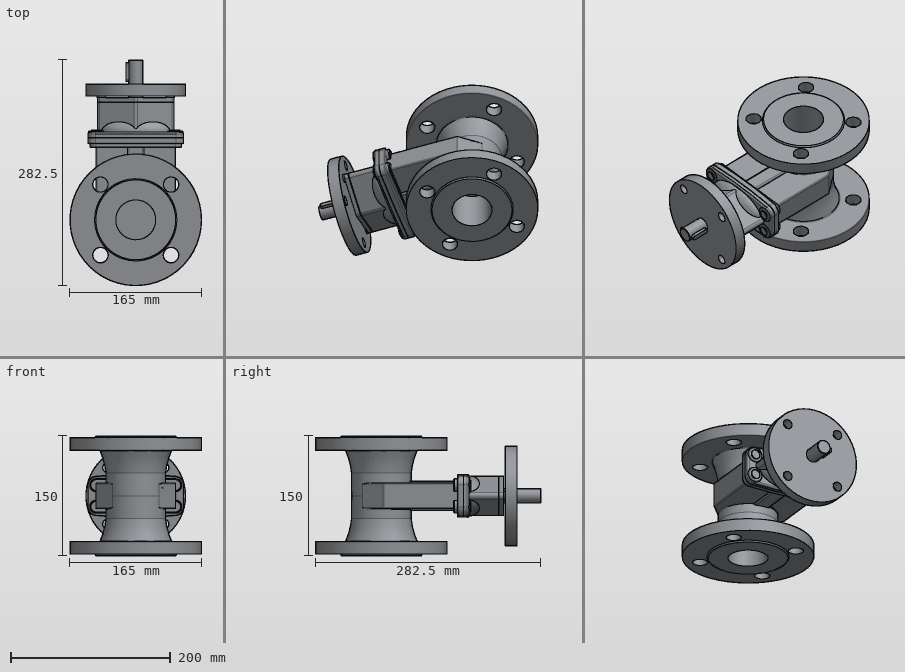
import cadquery as cq
import math


PIPE_LENGTH = 150.0
BORE_DIA = 50.0
BORE_DEPTH = 59.0
BARREL_RADIUS = 75.0 / 2
BARREL_HALF_LENGTH = 28.5
NECK_END_RADIUS = 45.0
NECK_ARC_RADIUS = 90.0
NECK_ROOT_FILLET = 1.2
PIPE_FLANGE_RADIUS = 165.0 / 2
PIPE_FLANGE_THICKNESS = 16.0
PIPE_FLANGE_ROUND = 0.5
RAISED_FACE_HEIGHT = 2.0
RAISED_FACE_RADIUS = 50.0
RAISED_FACE_BASE_RADIUS = 51.5
PIPE_BOLT_DIA = 19.0
PIPE_BOLT_CIRCLE = 125.0
BOLT_COUNT = 4
FIRST_BOLT_ANGLE = 45.0

ARM_HALF_WIDTH = 50.0
ARM_HALF_HEIGHT = 16.0
ARM_ROUND = 1.4
ARM_ROOT_FILLET = 0.8
ARM_BEVEL_START_Y = 2.5
RIB_HALF_WIDTH = 10.5
RIB_HEIGHT = 2.5
RIB_ROUND = 2.0

JOINT_Y = 102.6
BODY_PLATE_THICKNESS = 7.0
GEAR_PLATE_THICKNESS = 7.4
PLATE_HALF_WIDTH = 60.0
PLATE_HALF_HEIGHT = 27.0
PLATE_CORNER_RADIUS = 10.5
PLATE_CORNER_Z = 14.1
PLATE_ROUND = 2.5
JOINT_CHAMFER = 0.4
STUD_X = 49.5
STUD_Z = 13.5
LUG_RADIUS = 8.0
LUG_HEIGHT = 5.3
LUG_CHAMFER = 1.2
LUG_ROOT_FILLET = 0.8
STUD_BOSS_RADIUS = 9.7
STUD_BOSS_HEIGHT = 1.2
STUD_BOSS_ROUND = 1.0
STUD_HEAD_RADIUS = 12.0 / 2
STUD_HEAD_HEIGHT = 1.3

GEARBOX_END_Y = 153.0
RHOMBUS_HALF_WIDTH = 55.2
RHOMBUS_HALF_HEIGHT = 25.2
RHOMBUS_CORNER_RADIUS = 10.0 / 2
SUPPORT_BOSS_RADIUS = 10.62 / 2
GROOVE_Y = 147.2
GROOVE_WIDTH = 0.8
GROOVE_DEPTH = 0.4
DOME_HALF_WIDTH = 44.0
DOME_HALF_HEIGHT = 25.2
DOME_RISE = 20.5

MOTOR_FLANGE_RADIUS = 125.0 / 2
MOTOR_FLANGE_Y = 155.0
MOTOR_FLANGE_THICKNESS = 15.0
MOTOR_BOLT_DIA = 12.0
MOTOR_BOLT_CIRCLE = 100.0
MOTOR_FLANGE_CHAMFER = 0.3

SHAFT_DIA = 18.0
SHAFT_END_Y = 200.0
SHAFT_CHAMFER = 0.5
KEY_WIDTH = 6.0
KEY_HEIGHT = 6.0
KEY_LENGTH = 24.0
KEY_END_GAP = 3.0
KEY_TOP = 12.5

BODY_PLATE_Y = JOINT_Y - BODY_PLATE_THICKNESS
GEAR_PLATE_TOP_Y = JOINT_Y + GEAR_PLATE_THICKNESS
STUD_POINTS = [(x, z) for x in (-STUD_X, STUD_X) for z in (-STUD_Z, STUD_Z)]


def across(y):
    """Sketch plane square to Y at height y: local x is X, local y is Z."""
    return cq.Workplane("XZ", origin=(0, y, 0))


def raised(sketch, height):
    """Extrude a sketch made by across() toward +Y."""
    return sketch.extrude(-height)


def pipe_half():
    """Barrel half, curved neck, drilled flange and raised face on the +Z side."""
    end = PIPE_LENGTH / 2
    flange_top = end - RAISED_FACE_HEIGHT
    flange_back = flange_top - PIPE_FLANGE_THICKNESS
    outline = (
        cq.Workplane("XZ")
        .lineTo(BARREL_RADIUS, 0)
        .lineTo(BARREL_RADIUS, BARREL_HALF_LENGTH)
        .radiusArc((NECK_END_RADIUS, flange_back), NECK_ARC_RADIUS)
        .lineTo(PIPE_FLANGE_RADIUS - PIPE_FLANGE_ROUND, flange_back)
        .radiusArc((PIPE_FLANGE_RADIUS, flange_back + PIPE_FLANGE_ROUND), -PIPE_FLANGE_ROUND)
        .lineTo(PIPE_FLANGE_RADIUS, flange_top)
        .lineTo(RAISED_FACE_BASE_RADIUS, flange_top)
        .lineTo(RAISED_FACE_RADIUS, end)
        .lineTo(0, end)
        .close()
    )
    half = outline.revolve(360, (0, 0, 0), (0, 1, 0))
    underside_zone = cq.selectors.BoxSelector(
        (-end, -end, flange_back - PIPE_FLANGE_ROUND / 2),
        (end, end, flange_back + PIPE_FLANGE_ROUND / 2),
    )
    neck_root = half.edges("%CIRCLE").edges(underside_zone).edges(cq.selectors.RadiusNthSelector(0))
    half = neck_root.fillet(NECK_ROOT_FILLET)
    bolt_holes = (
        cq.Workplane("XY", origin=(0, 0, flange_back))
        .polarArray(PIPE_BOLT_CIRCLE / 2, FIRST_BOLT_ANGLE, 360, BOLT_COUNT)
        .circle(PIPE_BOLT_DIA / 2)
        .extrude(PIPE_FLANGE_THICKNESS)
    )
    return half.cut(bolt_holes)


def bores():
    """Blind bores from both pipe ends, leaving a closed web in the middle."""
    top = cq.Workplane("XY", origin=(0, 0, PIPE_LENGTH / 2)).circle(BORE_DIA / 2).extrude(-BORE_DEPTH)
    return top.union(top.mirror("XY"))


def arm():
    """Rounded box arm whose front corners are bevelled along tangents of the barrel."""
    reach = math.hypot(ARM_HALF_WIDTH, ARM_BEVEL_START_Y)
    start_angle = math.atan2(ARM_BEVEL_START_Y, ARM_HALF_WIDTH)
    touch_angle = start_angle - math.acos(BARREL_RADIUS / reach)
    touch_x = BARREL_RADIUS * math.cos(touch_angle)
    touch_y = BARREL_RADIUS * math.sin(touch_angle)
    outline = [
        (ARM_HALF_WIDTH, BODY_PLATE_Y),
        (ARM_HALF_WIDTH, ARM_BEVEL_START_Y),
        (touch_x, touch_y),
        (-touch_x, touch_y),
        (-ARM_HALF_WIDTH, ARM_BEVEL_START_Y),
        (-ARM_HALF_WIDTH, BODY_PLATE_Y),
    ]
    box = cq.Workplane("XY").polyline(outline).close().extrude(ARM_HALF_HEIGHT, both=True)
    bevel_corners = box.edges("|Z").edges(
        cq.selectors.BoxSelector(
            (-2 * ARM_HALF_WIDTH, 0, -ARM_HALF_HEIGHT),
            (2 * ARM_HALF_WIDTH, BODY_PLATE_Y / 2, ARM_HALF_HEIGHT),
        )
    )
    box = bevel_corners.fillet(ARM_ROUND)
    return box.faces("<Z or >Z").edges("not |X").fillet(ARM_ROUND)


def ribs():
    """Low rounded rib along the middle of the arm's upper and lower faces."""
    rib_half_height = ARM_HALF_HEIGHT + RIB_HEIGHT
    rib = raised(across(0).rect(2 * RIB_HALF_WIDTH, 2 * rib_half_height), BODY_PLATE_Y)
    return rib.edges("|Y").fillet(RIB_ROUND)


def joint_plate(y, thickness):
    """Plate with round corners and slightly bowed long sides, tangent all round."""
    corner_x = PLATE_HALF_WIDTH - PLATE_CORNER_RADIUS
    drop = PLATE_HALF_HEIGHT - PLATE_CORNER_Z
    bow_radius = (corner_x**2 + drop**2 - PLATE_CORNER_RADIUS**2) / (2 * (drop - PLATE_CORNER_RADIUS))
    bow_angle = math.asin(corner_x / (bow_radius - PLATE_CORNER_RADIUS))
    tangent_x = bow_radius * math.sin(bow_angle)
    tangent_z = PLATE_HALF_HEIGHT - bow_radius * (1 - math.cos(bow_angle))
    outline = (
        across(y)
        .moveTo(-PLATE_HALF_WIDTH, -PLATE_CORNER_Z)
        .lineTo(-PLATE_HALF_WIDTH, PLATE_CORNER_Z)
        .radiusArc((-tangent_x, tangent_z), PLATE_CORNER_RADIUS)
        .threePointArc((0, PLATE_HALF_HEIGHT), (tangent_x, tangent_z))
        .radiusArc((PLATE_HALF_WIDTH, PLATE_CORNER_Z), PLATE_CORNER_RADIUS)
        .lineTo(PLATE_HALF_WIDTH, -PLATE_CORNER_Z)
        .radiusArc((tangent_x, -tangent_z), PLATE_CORNER_RADIUS)
        .threePointArc((0, -PLATE_HALF_HEIGHT), (-tangent_x, -tangent_z))
        .radiusArc((-PLATE_HALF_WIDTH, -PLATE_CORNER_Z), PLATE_CORNER_RADIUS)
        .close()
    )
    return raised(outline, thickness)


def lug_step():
    """Step in front of the body plate: a bar round the arm with a round lug at each stud."""
    start_y = BODY_PLATE_Y - LUG_HEIGHT
    bar = raised(across(start_y).rect(2 * STUD_X, 2 * (STUD_Z + LUG_RADIUS)), LUG_HEIGHT)
    lugs = raised(across(start_y).pushPoints(STUD_POINTS).circle(LUG_RADIUS), LUG_HEIGHT)
    return bar.union(lugs).faces("<Y").edges().chamfer(LUG_CHAMFER)


def barrel_with_arm():
    """Both pipe halves and the arm, with a small fillet where the arm's flat faces meet the barrel."""
    upper = pipe_half()
    joined = upper.union(upper.mirror("XY")).union(arm())
    root_zone = cq.selectors.BoxSelector(
        (-BARREL_RADIUS, -BARREL_RADIUS, -ARM_HALF_HEIGHT - ARM_ROOT_FILLET),
        (BARREL_RADIUS, BARREL_RADIUS, ARM_HALF_HEIGHT + ARM_ROOT_FILLET),
    )
    return joined.edges("%CIRCLE").edges(root_zone).fillet(ARM_ROOT_FILLET)


def body_plate_with_lugs():
    """Body plate joined to the lug step, with a small fillet in the corner between them."""
    joined = joint_plate(BODY_PLATE_Y, BODY_PLATE_THICKNESS).union(lug_step())
    lug_x = STUD_X + LUG_RADIUS
    lug_z = STUD_Z + LUG_RADIUS
    root_zone = cq.selectors.BoxSelector(
        (-lug_x, BODY_PLATE_Y - LUG_ROOT_FILLET / 2, -lug_z - LUG_ROOT_FILLET),
        (lug_x, BODY_PLATE_Y + LUG_ROOT_FILLET / 2, lug_z + LUG_ROOT_FILLET),
    )
    return joined.edges(root_zone).fillet(LUG_ROOT_FILLET)


def make_pipe_body():
    body = barrel_with_arm().union(ribs()).union(body_plate_with_lugs())
    return body.cut(bores())


def rhombus_prism(y, height, inset):
    """Rhombic prism with rounded corners; inset moves its faces inward."""
    slope = math.atan2(RHOMBUS_HALF_HEIGHT, RHOMBUS_HALF_WIDTH)
    half_width = RHOMBUS_HALF_WIDTH - inset / math.sin(slope)
    half_height = RHOMBUS_HALF_HEIGHT - inset / math.cos(slope)
    corners = [(half_width, 0), (0, half_height), (-half_width, 0), (0, -half_height)]
    prism = raised(across(y).polyline(corners).close(), height)
    return prism.edges("|Y").fillet(RHOMBUS_CORNER_RADIUS - inset)


def dome():
    """Half ellipsoid that blends the gearbox column into its plate."""
    ball = cq.Workplane("XY").sphere(1.0)
    above = cq.Workplane("XY").box(4, 2, 4).translate((0, 1, 0))
    half_ball = ball.intersect(above).val()
    stretch = cq.Matrix(
        [
            [DOME_HALF_WIDTH, 0, 0, 0],
            [0, DOME_RISE, 0, GEAR_PLATE_TOP_Y],
            [0, 0, DOME_HALF_HEIGHT, 0],
        ]
    )
    return cq.Workplane("XY").newObject([half_ball.transformGeometry(stretch)])


def stud_bosses():
    """Round boss with a smaller stud head on top at each joint stud."""
    boss_height = GEAR_PLATE_THICKNESS / 2 + STUD_BOSS_HEIGHT
    boss_y = GEAR_PLATE_TOP_Y - GEAR_PLATE_THICKNESS / 2
    boss = raised(across(boss_y).pushPoints(STUD_POINTS).circle(STUD_BOSS_RADIUS), boss_height)
    boss = boss.faces(">Y").edges().fillet(STUD_BOSS_ROUND)
    head_y = boss_y + boss_height
    heads = raised(across(head_y).pushPoints(STUD_POINTS).circle(STUD_HEAD_RADIUS), STUD_HEAD_HEIGHT)
    return boss.union(heads)


def support_bosses():
    """Two round bosses on the side corners that carry the motor flange."""
    slope = math.atan2(RHOMBUS_HALF_HEIGHT, RHOMBUS_HALF_WIDTH)
    boss_x = RHOMBUS_HALF_WIDTH - RHOMBUS_CORNER_RADIUS / math.sin(slope)
    sketch = across(GEARBOX_END_Y).pushPoints([(-boss_x, 0), (boss_x, 0)]).circle(SUPPORT_BOSS_RADIUS)
    return raised(sketch, MOTOR_FLANGE_Y - GEARBOX_END_Y)


def make_gearbox():
    plate = joint_plate(JOINT_Y, GEAR_PLATE_THICKNESS)
    plate = plate.faces(">Y").edges().fillet(PLATE_ROUND)
    plate = plate.faces("<Y").edges().chamfer(JOINT_CHAMFER)
    groove_start = GROOVE_Y - GROOVE_WIDTH / 2
    groove_end = GROOVE_Y + GROOVE_WIDTH / 2
    column = rhombus_prism(GEAR_PLATE_TOP_Y, groove_start - GEAR_PLATE_TOP_Y, 0)
    column = column.union(rhombus_prism(groove_start, GROOVE_WIDTH, GROOVE_DEPTH))
    column = column.union(rhombus_prism(groove_end, GEARBOX_END_Y - groove_end, 0))
    return plate.union(stud_bosses()).union(column).union(support_bosses()).union(dome())


def make_motor_flange():
    disc = raised(across(MOTOR_FLANGE_Y).circle(MOTOR_FLANGE_RADIUS), MOTOR_FLANGE_THICKNESS)
    disc = disc.faces("<Y").edges().chamfer(MOTOR_FLANGE_CHAMFER)
    bolt_holes = raised(
        across(MOTOR_FLANGE_Y)
        .polarArray(MOTOR_BOLT_CIRCLE / 2, FIRST_BOLT_ANGLE, 360, BOLT_COUNT)
        .circle(MOTOR_BOLT_DIA / 2),
        MOTOR_FLANGE_THICKNESS,
    )
    shaft_hole = raised(across(MOTOR_FLANGE_Y).circle(SHAFT_DIA / 2), MOTOR_FLANGE_THICKNESS)
    return disc.cut(bolt_holes).cut(shaft_hole)


def make_key():
    """Round-ended parallel key on the -X side of the shaft."""
    middle_y = SHAFT_END_Y - KEY_END_GAP - KEY_LENGTH / 2
    return (
        cq.Workplane("YZ", origin=(-KEY_TOP, middle_y, 0))
        .slot2D(KEY_LENGTH, KEY_WIDTH)
        .extrude(KEY_HEIGHT)
    )


def make_shaft(key):
    """Plain shaft standing on the gearbox, chamfered at its free end, with a seat for the key."""
    bar = raised(across(GEARBOX_END_Y).circle(SHAFT_DIA / 2), SHAFT_END_Y - GEARBOX_END_Y)
    return bar.faces(">Y").chamfer(SHAFT_CHAMFER).cut(key)


pipe_body = make_pipe_body()
gearbox = make_gearbox()
motor_flange = make_motor_flange()
key = make_key()
shaft = make_shaft(key)

result = cq.Compound.makeCompound(
    [pipe_body.val(), gearbox.val(), motor_flange.val(), shaft.val(), key.val()]
)